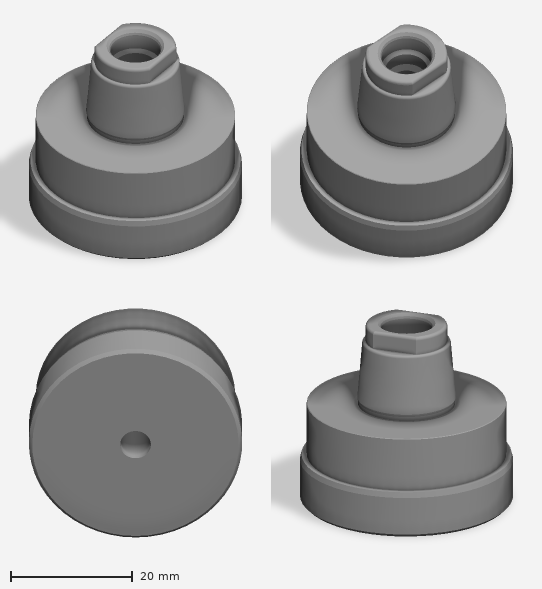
import cadquery as cq

flange_radius = 17.5
flange_height = 7.9
flange_bottom_chamfer = 0.55
flange_top_bevel_height = 0.9
flange_top_bevel_width = 0.25

body_radius = 16.4
body_top = 17.0
body_chamfer = 0.1

neck_foot_radius = 8.0
neck_base_radius = 8.1
neck_foot_top = 17.55
neck_taper_start = 17.95
neck_top_radius = 7.25
neck_top = 27.98
neck_rounding = 0.45
groove_outer_radius = 8.75
groove_floor_radius = 8.15
groove_depth = 0.15

tip_radius = 6.72
tip_across_flats = 11.15
tip_rounding = 0.53
total_height = 30.95

rim_radius = 4.73
rim_depth = 0.45
bore_mouth_radius = 4.27
mouth_taper_depth = 0.85
upper_bore_radius = 4.13
upper_bore_depth = 3.5
middle_bore_radius = 3.45
step_depth = 0.5
middle_bore_depth = 6.3
cone_height = 0.55
through_radius = 2.52


def revolve_profile(points):
    """Revolve a closed outline of (radius, height) points about the Z axis."""
    return cq.Workplane("XZ").polyline(points).close().revolve(360, (0, 0), (0, 1))


def make_base():
    """Flange, body and the groove around the foot of the neck."""
    groove_floor = body_top - groove_depth
    return revolve_profile([
        (0, 0),
        (flange_radius - flange_bottom_chamfer, 0),
        (flange_radius, flange_bottom_chamfer),
        (flange_radius, flange_height - flange_top_bevel_height),
        (flange_radius - flange_top_bevel_width, flange_height),
        (body_radius, flange_height),
        (body_radius, body_top - body_chamfer),
        (body_radius - body_chamfer, body_top),
        (groove_outer_radius, body_top),
        (groove_floor_radius, groove_floor),
        (0, groove_floor),
    ])


def make_neck():
    """Tapered neck with a rounded upper edge."""
    neck = revolve_profile([
        (0, body_top - groove_depth),
        (neck_foot_radius, body_top - groove_depth),
        (neck_foot_radius, neck_foot_top),
        (neck_base_radius, neck_taper_start),
        (neck_top_radius, neck_top),
        (0, neck_top),
    ])
    return neck.faces(">Z").edges().fillet(neck_rounding)


def make_tip():
    """Round tip cut by two flats facing -X and +X, rounded along its top edge."""
    tip_height = total_height - neck_top
    tip = cq.Workplane("XY").workplane(offset=neck_top).circle(tip_radius).extrude(tip_height)
    flats = (
        cq.Workplane("XY")
        .workplane(offset=neck_top)
        .rect(tip_across_flats, 2 * tip_radius)
        .extrude(tip_height)
    )
    return tip.intersect(flats).faces(">Z").edges().fillet(tip_rounding)


def make_bore():
    """Bevelled upper bore stepping down through cones to the through hole."""
    step_top = total_height - upper_bore_depth
    step_bottom = step_top - step_depth
    cone_top = total_height - middle_bore_depth
    cone_bottom = cone_top - cone_height
    return revolve_profile([
        (0, 0),
        (through_radius, 0),
        (through_radius, cone_bottom),
        (middle_bore_radius, cone_top),
        (middle_bore_radius, step_bottom),
        (upper_bore_radius, step_top),
        (upper_bore_radius, total_height - mouth_taper_depth),
        (bore_mouth_radius, total_height - rim_depth),
        (rim_radius, total_height),
        (0, total_height),
    ])


result = make_base().union(make_neck()).union(make_tip()).cut(make_bore())